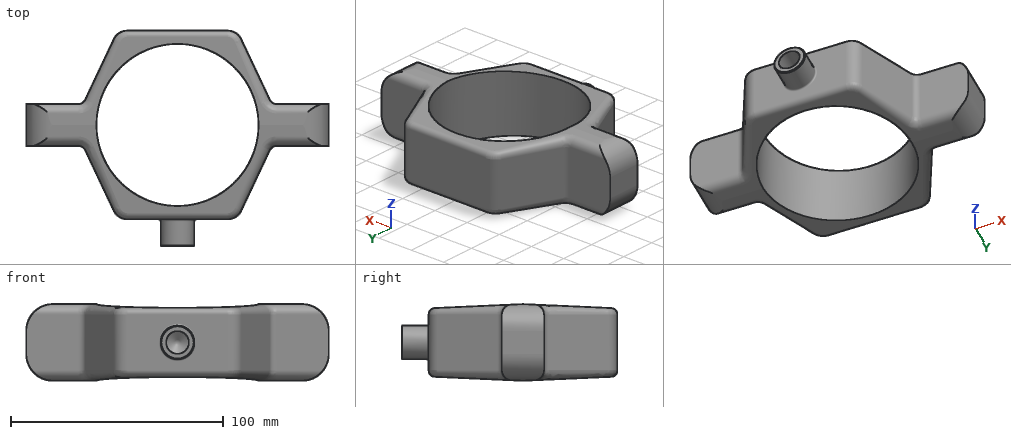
import cadquery as cq
import math

arm_span = 142.2
body_depth = 88.8
flat_corner_x = 28.0
arm_width = 19.8
side_angle = math.radians(64.7)
corner_radius = 7.1
arm_root_radius = 3.5
bore_diameter = 76.1

ridge_height = 36.1
flat_height = 32.1
wall_height = 25.9
arm_end_radius = 12.7

spigot_diameter = 16.0
spigot_length = 12.7
spigot_root_radius = 0.9
spigot_tip_chamfer = 0.4
spigot_bed = 1.4
drill_diameter = 10.7
drill_depth = 12.8
drill_tip_angle = math.radians(118)

half_span = arm_span / 2
half_depth = body_depth / 2
half_arm = arm_width / 2
crown_slope = (ridge_height - flat_height) / body_depth
arm_root_x = flat_corner_x + (half_depth - half_arm) / math.tan(side_angle)


def crown_z(y):
    """Height of the pitched top face at a distance y from the ridge."""
    return ridge_height / 2 - crown_slope * abs(y)


def outline_prism():
    """Hexagon with two opposed arms, its vertical corners rounded."""
    quarter = [
        (half_span, half_arm),
        (arm_root_x, half_arm),
        (flat_corner_x, half_depth),
    ]
    upper = quarter + [(-x, y) for x, y in reversed(quarter)]
    lower = [(-x, -y) for x, y in upper]
    prism = cq.Workplane("XY").polyline(upper + lower).close().extrude(ridge_height / 2, both=True)

    def round_corners(body, x, y, radius):
        corners = [cq.Vector(sx * x, sy * y, 0) for sx in (-1, 1) for sy in (-1, 1)]
        edges = [
            edge for edge in body.edges("|Z").vals()
            if any((edge.Center() - corner).Length < 0.01 for corner in corners)
        ]
        return cq.Workplane(body.val().fillet(radius, edges))

    body = round_corners(prism, flat_corner_x, half_depth, corner_radius)
    return round_corners(body, arm_root_x, half_arm, arm_root_radius)


def pitched_envelope():
    """Bar along X whose top and bottom faces fall away from a central ridge."""
    section = [
        (-half_depth, crown_z(half_depth)),
        (0, crown_z(0)),
        (half_depth, crown_z(half_depth)),
        (half_depth, -crown_z(half_depth)),
        (0, -crown_z(0)),
        (-half_depth, -crown_z(half_depth)),
    ]
    return cq.Workplane("YZ").polyline(section).close().extrude(half_span, both=True)


def round_rims(body):
    """Round the four rims; the radius grows toward the ridge so the walls keep one height."""
    solid = body.val()
    rounding = cq.occ_impl.shapes.BRepFilletAPI_MakeFillet(solid.wrapped)
    for y_side in (-1, 1):
        for z_side in (-1, 1):
            rim_point = (0, y_side * half_depth, z_side * crown_z(half_depth))
            first_edge = body.edges(cq.selectors.NearestToPointSelector(rim_point)).val()
            rounding.Add(first_edge.wrapped)
            contour = rounding.NbContours()
            for vertex in solid.Vertices():
                if rounding.RelativeAbscissa(contour, vertex.wrapped) >= 0:
                    radius = crown_z(vertex.Y) - wall_height / 2
                    rounding.SetRadius(radius, contour, vertex.wrapped)
    return cq.Workplane(cq.Shape.cast(rounding.Shape())).solids()


def arm_end_envelope():
    """Bar along Y that rounds the arm ends in the XZ plane."""
    return (
        cq.Workplane("XY")
        .box(arm_span, body_depth, ridge_height)
        .edges("|Y")
        .fillet(arm_end_radius)
    )


def spigot():
    """Stub on the -Y flat with a flared root and a chamfered tip, reaching slightly into the wall."""
    radius = spigot_diameter / 2
    tip_y = -half_depth - spigot_length
    root_y = -half_depth
    bed_y = root_y + spigot_bed
    flare_middle = spigot_root_radius * (1 - math.sqrt(0.5))
    return (
        cq.Workplane("XY")
        .moveTo(0, tip_y)
        .lineTo(radius - spigot_tip_chamfer, tip_y)
        .lineTo(radius, tip_y + spigot_tip_chamfer)
        .lineTo(radius, root_y - spigot_root_radius)
        .threePointArc(
            (radius + flare_middle, root_y - flare_middle),
            (radius + spigot_root_radius, root_y),
        )
        .lineTo(radius + spigot_root_radius, bed_y)
        .lineTo(0, bed_y)
        .close()
        .revolve(360, (0, 0), (0, 1))
    )


def drill():
    """Blind hole in the spigot, ending in a drill-point cone."""
    radius = drill_diameter / 2
    tip_y = -half_depth - spigot_length
    shoulder_y = tip_y + drill_depth
    point_y = shoulder_y + radius / math.tan(drill_tip_angle / 2)
    return (
        cq.Workplane("XY")
        .polyline([(0, tip_y), (radius, tip_y), (radius, shoulder_y), (0, point_y)])
        .close()
        .revolve(360, (0, 0), (0, 1))
    )


clamp = round_rims(outline_prism().intersect(pitched_envelope()))
clamp = clamp.intersect(arm_end_envelope())
bore = cq.Workplane("XY").circle(bore_diameter / 2).extrude(ridge_height, both=True)
result = clamp.cut(bore).union(spigot()).cut(drill())